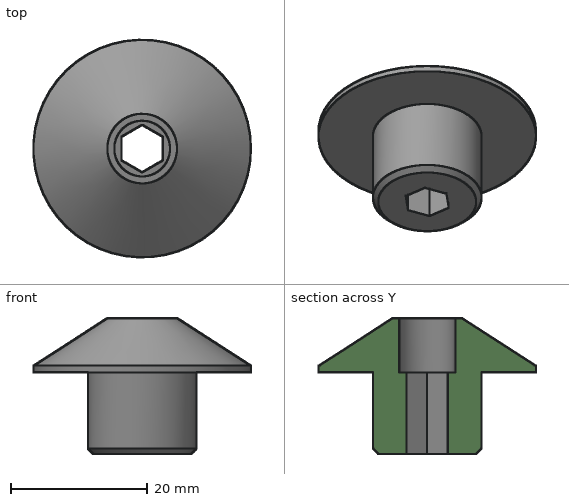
import cadquery as cq
import math

flange_diameter = 32.0
total_height = 20.0
stem_diameter = flange_diameter / 2
stem_height = 12.0
stem_chamfer = 0.8
rim_thickness = 1.0
top_diameter = 10.25
bore_diameter = 8.2
bore_depth = total_height - stem_height
hex_across_flats = 6.0

rim_top = stem_height + rim_thickness
body = (
    cq.Workplane("XZ")
    .moveTo(0, 0)
    .lineTo(stem_diameter / 2 - stem_chamfer, 0)
    .lineTo(stem_diameter / 2, stem_chamfer)
    .lineTo(stem_diameter / 2, stem_height)
    .lineTo(flange_diameter / 2, stem_height)
    .lineTo(flange_diameter / 2, rim_top)
    .lineTo(top_diameter / 2, total_height)
    .lineTo(0, total_height)
    .close()
    .revolve(360, (0, 0, 0), (0, 1, 0))
)

bore = (
    cq.Workplane("XY")
    .workplane(offset=total_height - bore_depth)
    .circle(bore_diameter / 2)
    .extrude(bore_depth)
)

hex_across_corners = hex_across_flats / math.cos(math.pi / 6)
hex_hole = (
    cq.Workplane("XY")
    .polygon(6, hex_across_corners)
    .extrude(total_height)
    .rotate((0, 0, 0), (0, 0, 1), 30)
)

result = body.cut(bore).cut(hex_hole)